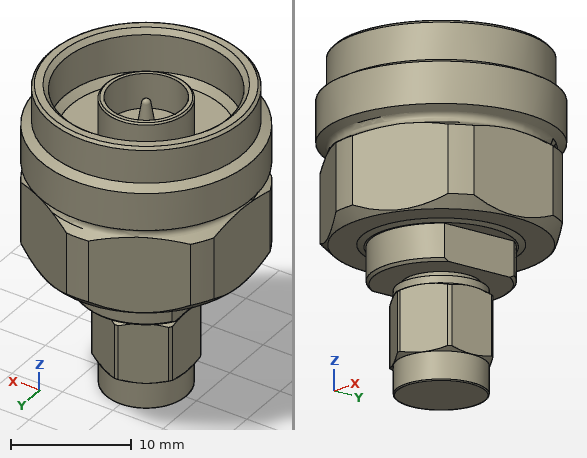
import cadquery as cq
import math

total_height = 29.65

flange_radius = 10.4
sleeve_radius = 9.52
sleeve_edge_chamfer = 0.25
flange_top_shoulder_z = 26.15
flange_top_z = 25.7
groove_middle_z = 21.11
groove_bottom_radius = 9.36
groove_fillet_radius = 0.52
groove_wall_angle = math.radians(30)
large_hex_across_flats = 19.0
large_hex_chamfer_top_z = 14.15
large_nut_bottom_z = 13.15
large_nut_bottom_radius = 9.4
hex_cutter_margin = 1.0

socket_mouth_radius = 8.55
socket_radius = 8.1
socket_mouth_depth = 0.45
socket_floor_radius = 7.45
socket_floor_z = 24.9
socket_cone_height = 0.65

tube_radius = 4.0
tube_bore_radius = 3.5
tube_edge_chamfer = 0.15
tube_top_z = 28.4
tube_floor_z = 24.95
pin_base_radius = 0.85
pin_tip_radius = 0.4
pin_tip_z = 28.2

rim_top_radius = 7.0
rim_radius = 6.4
rim_bottom_z = 12.95
body_radius = 6.23
body_across_flats = 10.0
body_bottom_z = 9.7
body_chamfer = 0.25
neck_radius = 3.28
neck_root_radius = 3.32
neck_root_height = 0.25

small_nut_radius = 3.98
small_nut_top_z = 9.15
small_hex_across_flats = 8.0
small_hex_corner_radius = 4.52
small_hex_top_z = 8.5
small_hex_bottom_z = 2.55
small_hex_chamfer_height = 0.3
small_nut_chamfer = 0.1


def revolve(points):
    """Solid of revolution about Z from a closed (radius, z) outline."""
    return cq.Workplane("XZ").polyline(points).close().revolve(360, (0, 0), (0, 1))


def cylinder(radius, bottom_z, top_z):
    """Cylinder on the Z axis."""
    return cq.Workplane("XY").workplane(offset=bottom_z).circle(radius).extrude(top_z - bottom_z)


def hex_prism(across_flats, bottom_z, top_z):
    """Hexagonal prism on the Z axis with two flats facing -X and +X."""
    corner_diameter = across_flats / math.cos(math.pi / 6)
    prism = cq.Workplane("XY").workplane(offset=bottom_z).polygon(6, corner_diameter)
    return prism.extrude(top_z - bottom_z).rotate((0, 0, 0), (0, 0, 1), 30)


def make_large_nut_blank():
    """Turned blank of the large nut, with a rounded V-groove between hexagon and flange."""
    def fillet_point(angle):
        point_radius = groove_bottom_radius + groove_fillet_radius * (1 - math.cos(angle))
        return point_radius, groove_middle_z + groove_fillet_radius * math.sin(angle)

    fillet_angle = math.pi / 2 - groove_wall_angle
    fillet_bottom = fillet_point(-fillet_angle)
    fillet_top = fillet_point(fillet_angle)
    wall_height = (flange_radius - fillet_top[0]) * math.tan(groove_wall_angle)
    return (
        cq.Workplane("XZ")
        .moveTo(0, large_nut_bottom_z)
        .lineTo(large_nut_bottom_radius, large_nut_bottom_z)
        .lineTo(flange_radius, large_hex_chamfer_top_z)
        .lineTo(flange_radius, fillet_bottom[1] - wall_height)
        .lineTo(*fillet_bottom)
        .threePointArc((groove_bottom_radius, groove_middle_z), fillet_top)
        .lineTo(flange_radius, fillet_top[1] + wall_height)
        .lineTo(flange_radius, flange_top_z)
        .lineTo(sleeve_radius, flange_top_shoulder_z)
        .lineTo(sleeve_radius, total_height - sleeve_edge_chamfer)
        .lineTo(sleeve_radius - sleeve_edge_chamfer, total_height)
        .lineTo(0, total_height)
        .close()
        .revolve(360, (0, 0), (0, 1))
    )


def make_large_hex_cutter():
    """Material around the large hexagon, from below the nut up to the middle of the groove."""
    bottom_z = large_nut_bottom_z - hex_cutter_margin
    surround = cylinder(flange_radius + hex_cutter_margin, bottom_z, groove_middle_z)
    return surround.cut(hex_prism(large_hex_across_flats, bottom_z, groove_middle_z))


def make_socket():
    """Cavity of the large nut: chamfered mouth, bore and a conical step down to a flat floor."""
    return revolve([
        (0, socket_floor_z),
        (socket_floor_radius, socket_floor_z),
        (socket_radius, socket_floor_z + socket_cone_height),
        (socket_radius, total_height - socket_mouth_depth),
        (socket_mouth_radius, total_height),
        (0, total_height),
    ])


def make_contact():
    """Inner contact tube with the tapered centre pin standing on its floor."""
    tube = cylinder(tube_radius, socket_floor_z, tube_top_z).faces(">Z").chamfer(tube_edge_chamfer)
    tube = tube.cut(cylinder(tube_bore_radius, tube_floor_z, tube_top_z))
    dome_base_z = pin_tip_z - pin_tip_radius
    dome_middle = pin_tip_radius * math.sqrt(0.5)
    pin = (
        cq.Workplane("XZ")
        .moveTo(0, socket_floor_z)
        .lineTo(pin_base_radius, socket_floor_z)
        .lineTo(pin_base_radius, tube_floor_z)
        .lineTo(pin_tip_radius, dome_base_z)
        .threePointArc((dome_middle, dome_base_z + dome_middle), (0, pin_tip_z))
        .close()
        .revolve(360, (0, 0), (0, 1))
    )
    return tube.union(pin)


def make_body():
    """Body with two wrench flats facing -X and +X, and the neck leading to the small nut."""
    body = cylinder(body_radius, body_bottom_z, large_nut_bottom_z).faces("<Z").chamfer(body_chamfer)
    body_height = large_nut_bottom_z - body_bottom_z
    flats = cq.Workplane("XY").workplane(offset=body_bottom_z)
    flats = flats.rect(body_across_flats, 2 * body_radius).extrude(body_height)
    rim = revolve([
        (0, rim_bottom_z),
        (rim_radius, rim_bottom_z),
        (rim_top_radius, large_nut_bottom_z),
        (0, large_nut_bottom_z),
    ])
    neck = revolve([
        (0, small_nut_top_z),
        (neck_radius, small_nut_top_z),
        (neck_radius, body_bottom_z - neck_root_height),
        (neck_root_radius, body_bottom_z),
        (0, body_bottom_z),
    ])
    return body.intersect(flats).union(rim).union(neck)


def make_small_nut():
    """Small nut: round sleeve with a hexagon chamfered at both ends."""
    sleeve = cylinder(small_nut_radius, 0, small_nut_top_z).faces("<Z").chamfer(small_nut_chamfer)
    envelope = revolve([
        (0, small_hex_bottom_z),
        (small_nut_radius, small_hex_bottom_z),
        (small_hex_corner_radius, small_hex_bottom_z + small_hex_chamfer_height),
        (small_hex_corner_radius, small_hex_top_z - small_hex_chamfer_height),
        (small_nut_radius, small_hex_top_z),
        (0, small_hex_top_z),
    ])
    hexagon = hex_prism(small_hex_across_flats, small_hex_bottom_z, small_hex_top_z)
    return sleeve.union(hexagon.intersect(envelope))


large_nut = make_large_nut_blank().cut(make_large_hex_cutter()).cut(make_socket())
result = large_nut.union(make_contact()).union(make_body()).union(make_small_nut())